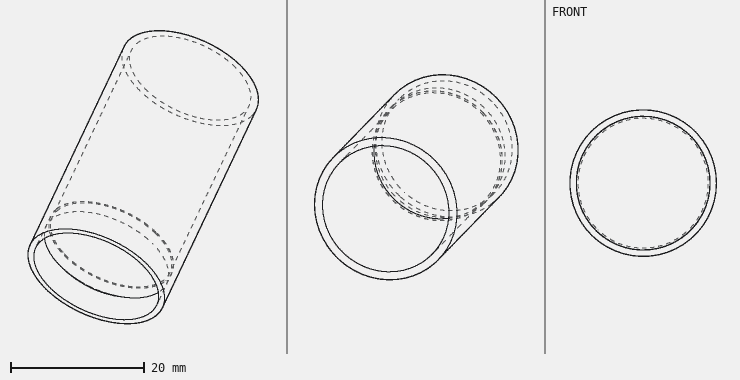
import cadquery as cq
import math

length = 39.0
outer_diameter = 22.0
bore_diameter = 19.5
seat_diameter = 20.1

lens_diameter = 20.0
dome_radius = 15.65
lens_edge = 1.95
rim_depth = 4.25

front_y = -length / 2
rim_y = front_y + rim_depth
seat_y = rim_y + lens_edge
lens_radius = lens_diameter / 2
dome_height = dome_radius - math.sqrt(dome_radius**2 - lens_radius**2)


def cylinder_along_y(diameter, start_y, end_y):
    """Solid cylinder on the Y axis between two Y positions."""
    return (
        cq.Workplane("XZ", origin=(0, start_y, 0))
        .circle(diameter / 2)
        .extrude(start_y - end_y)
    )


def make_housing():
    """Tube with a through bore and a wider lens seat at the front."""
    tube = cylinder_along_y(outer_diameter, front_y, front_y + length)
    bore = cylinder_along_y(bore_diameter, front_y, front_y + length)
    seat = cylinder_along_y(seat_diameter, front_y, seat_y)
    return tube.cut(bore).cut(seat)


def make_lens():
    """Flat-backed disc on the seat, its front rounded by a sphere toward -Y."""
    apex_y = rim_y - dome_height
    blank = cylinder_along_y(lens_diameter, apex_y, seat_y)
    dome_center = (0, apex_y + dome_radius, 0)
    dome = cq.Workplane("XY").sphere(dome_radius).translate(dome_center)
    return blank.intersect(dome)


housing = make_housing()
lens = make_lens()

result = cq.Compound.makeCompound([housing.val(), lens.val()])